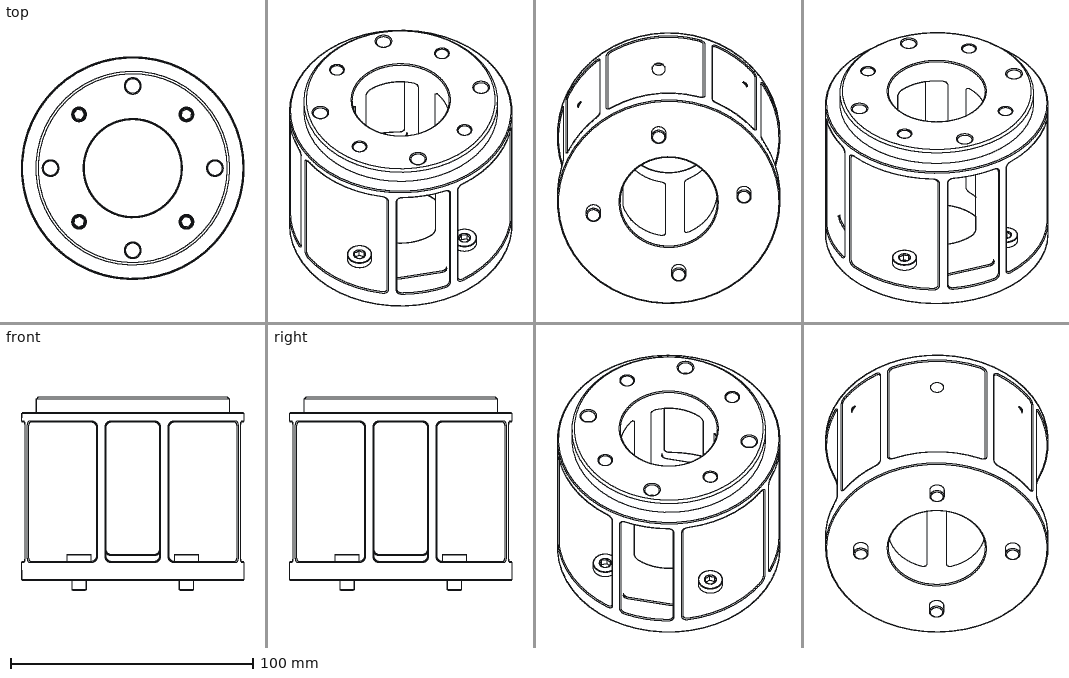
import cadquery as cq
import math

flange_radius = 46.0
boss_radius = 40.0
bore_radius = 20.1
housing_height = 76.0
boss_bottom_z = 69.5
boss_chamfer = 1.0
edge_chamfer = 0.5

floor_z = 8.0
ceiling_z = 65.5
opening_fillet = 2.0
window_half_width = 11.0
sill_z = 10.9
sill_outer_distance = 39.0
sill_foot_fillet = 0.55
pocket_wall_distance = 15.0
pocket_corner_radius = 4.0

dowel_circle_radius = 33.95
dowel_hole_diameter = 6.0
dowel_hole_depth = 7.0
drill_tip_angle = 118.0
access_hole_diameter = 5.3
access_hole_chamfer = 0.4

screw_circle_radius = 31.4
shank_diameter = 6.0
shank_projection = 4.05
shank_tip_chamfer = 0.5
head_diameter = 10.0
head_height = 2.85
head_chamfer = 0.2
socket_across_flats = 4.0
socket_depth = 3.0
socket_countersink_diameter = 5.0
socket_twist = 7.0

cut_overrun = 0.9
match_tolerance = 0.001
quarter_turns = [0, 90, 180, 270]
diagonal_angles = [45 + angle for angle in quarter_turns]


def polar_point(radius, angle):
    """XY point at a radius and an angle in degrees."""
    return radius * math.cos(math.radians(angle)), radius * math.sin(math.radians(angle))


def make_turned_blank():
    """Flanged body with a raised boss on top and a bore right through."""
    body = cq.Workplane("XY").circle(flange_radius).extrude(boss_bottom_z)
    body = body.edges().chamfer(edge_chamfer)
    boss = (
        cq.Workplane("XY")
        .workplane(offset=boss_bottom_z - edge_chamfer)
        .circle(boss_radius)
        .extrude(housing_height - boss_bottom_z + edge_chamfer)
        .faces(">Z").edges().chamfer(boss_chamfer)
    )
    bore = cq.Workplane("XY").circle(bore_radius).extrude(housing_height)
    bored = body.union(boss).cut(bore)
    bore_rims = bored.edges(cq.selectors.RadiusNthSelector(0))
    return bore_rims.chamfer(edge_chamfer)


def window_outline(bottom_z, distance):
    """Window rectangle across +X, at a distance from the axis."""
    return (
        cq.Workplane("YZ")
        .workplane(offset=distance)
        .center(0, (bottom_z + ceiling_z) / 2)
        .rect(2 * window_half_width, ceiling_z - bottom_z)
    )


def make_window_cutter():
    """Round-cornered opening along +X whose floor rises to a sill further in."""
    reach = flange_radius + cut_overrun
    inner = window_outline(sill_z, 0).extrude(reach).edges("|X").fillet(opening_fillet)
    outer = (
        window_outline(floor_z, sill_outer_distance)
        .extrude(reach - sill_outer_distance)
        .edges("|X").fillet(opening_fillet)
        .faces("<X").edges().fillet(sill_foot_fillet)
    )
    sill_bevel_limits = window_outline(floor_z, 0).extrude(reach)
    sill_bevel = (
        window_outline(sill_z, 0)
        .extrude(sill_outer_distance)
        .edges("|X").fillet(opening_fillet)
        .faces(">X").wires().toPending()
        .workplane()
        .offset2D(edge_chamfer)
        .extrude(-edge_chamfer, taper=45, combine=False)
        .intersect(sill_bevel_limits)
    )
    return inner.union(sill_bevel).union(outer)


def make_pocket_cutter():
    """Closed corner pocket in the +X +Y quadrant, rounded at its inner corner, floor and ceiling."""
    return (
        cq.Workplane("XY")
        .workplane(offset=floor_z)
        .moveTo(pocket_wall_distance, pocket_wall_distance)
        .rect(flange_radius, flange_radius, centered=False)
        .extrude(ceiling_z - floor_z)
        .edges("|Z and <X and <Y").fillet(pocket_corner_radius)
        .faces("<Z or >Z").edges().fillet(opening_fillet)
    )


def cut_openings(body):
    """Four windows into the bore, each with a raised inner sill, and four corner pockets."""
    opening = make_window_cutter()
    pocket = make_pocket_cutter()
    for angle in quarter_turns:
        body = body.cut(opening.rotate((0, 0, 0), (0, 0, 1), angle))
        body = body.cut(pocket.rotate((0, 0, 0), (0, 0, 1), angle))
    return body


def chamfer_opening_rims(body):
    """Break the edges where the openings meet the outer cylinder."""
    rims = []
    for edge in body.edges().vals():
        points = edge.positions([0, 0.5, 1])
        on_cylinder = all(abs(math.hypot(p.x, p.y) - flange_radius) < match_tolerance for p in points)
        beside_opening = all(floor_z - match_tolerance < p.z < ceiling_z + match_tolerance for p in points)
        if on_cylinder and beside_opening:
            rims.append(edge)
    return body.newObject(rims).chamfer(edge_chamfer)


def make_hole_cutter(diameter, chamfer, bottom_z, tip_height):
    """Turned cutter for a hole from the boss face: chamfered mouth, straight wall, conical or flat end."""
    radius = diameter / 2
    return (
        cq.Workplane("XZ")
        .moveTo(0, housing_height)
        .lineTo(radius + chamfer, housing_height)
        .lineTo(radius, housing_height - chamfer)
        .lineTo(radius, bottom_z)
        .lineTo(0, bottom_z - tip_height)
        .close()
        .revolve(360, (0, 0), (0, 1))
    )


def cut_top_holes(body):
    """Blind dowel holes on the axes and through access holes above the screws."""
    tip_height = dowel_hole_diameter / 2 / math.tan(math.radians(drill_tip_angle / 2))
    dowel_hole = make_hole_cutter(
        dowel_hole_diameter, edge_chamfer, housing_height - dowel_hole_depth, tip_height
    )
    access_hole = make_hole_cutter(access_hole_diameter, access_hole_chamfer, ceiling_z, 0)
    for angle in quarter_turns:
        body = body.cut(dowel_hole.translate((*polar_point(dowel_circle_radius, angle), 0)))
    for angle in diagonal_angles:
        body = body.cut(access_hole.translate((*polar_point(screw_circle_radius, angle), 0)))
    return body


def cut_screw_holes(body):
    """Clearance-free holes for the screw shanks through the bottom plate."""
    points = [polar_point(screw_circle_radius, angle) for angle in diagonal_angles]
    holes = cq.Workplane("XY").pushPoints(points).circle(shank_diameter / 2).extrude(floor_z)
    return body.cut(holes)


def make_housing():
    """Complete flanged housing, without the screws."""
    body = cut_openings(make_turned_blank())
    body = chamfer_opening_rims(body)
    body = cut_top_holes(body)
    return cut_screw_holes(body)


def make_socket():
    """Hexagonal socket with a conical lead-in, one flat nearly square to the radial direction."""
    head_top_z = floor_z + head_height
    hexagon = (
        cq.Workplane("XY")
        .workplane(offset=head_top_z - socket_depth)
        .polygon(6, socket_across_flats / math.cos(math.radians(30)))
        .extrude(socket_depth)
        .rotate((0, 0, 0), (0, 0, 1), 30 + socket_twist)
    )
    countersink_depth = (socket_countersink_diameter - socket_across_flats) / 2
    countersink = (
        cq.Workplane("XY")
        .workplane(offset=head_top_z)
        .circle(socket_countersink_diameter / 2)
        .extrude(-countersink_depth, taper=45)
    )
    return hexagon.union(countersink)


def make_screw(angle):
    """Socket-head screw standing on a pocket floor, its tip below the housing."""
    shank = (
        cq.Workplane("XY")
        .workplane(offset=-shank_projection)
        .circle(shank_diameter / 2)
        .extrude(shank_projection + floor_z)
        .faces("<Z").edges().chamfer(shank_tip_chamfer)
    )
    head = (
        cq.Workplane("XY")
        .workplane(offset=floor_z)
        .circle(head_diameter / 2)
        .extrude(head_height)
        .faces(">Z").edges().chamfer(head_chamfer)
    )
    screw = shank.union(head).cut(make_socket())
    return screw.rotate((0, 0, 0), (0, 0, 1), angle).translate((*polar_point(screw_circle_radius, angle), 0))


housing = make_housing()
screws = [make_screw(angle) for angle in diagonal_angles]

result = cq.Compound.makeCompound([housing.val(), *[screw.val() for screw in screws]])